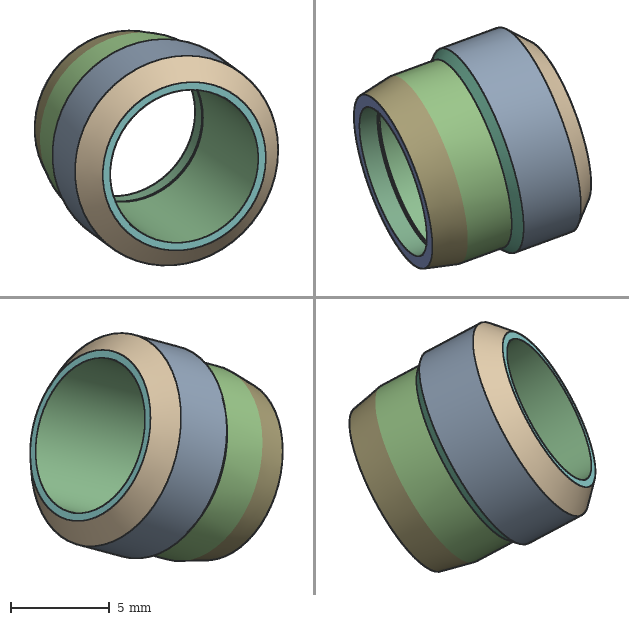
import cadquery as cq

length = 9.0
outer_radius = 5.5
bore_radius = 4.0

nose_radius = 4.68
spigot_radius = 5.06
nose_length = 1.79
shoulder_start = 4.25

shoulder_length = 0.46
end_chamfer = 1.09

groove_start = 1.0
groove_width = 0.14
groove_depth = 0.22


def revolve_about_x(profile):
    return profile.close().revolve(360, (0, 0, 0), (1, 0, 0))


def make_body():
    profile = (
        cq.Workplane("XY")
        .moveTo(0, bore_radius)
        .lineTo(0, nose_radius)
        .lineTo(nose_length, spigot_radius)
        .lineTo(shoulder_start, spigot_radius)
        .lineTo(shoulder_start + shoulder_length, outer_radius)
        .lineTo(length - end_chamfer, outer_radius)
        .lineTo(length, outer_radius - end_chamfer)
        .lineTo(length, bore_radius)
    )
    return revolve_about_x(profile)


def make_groove_cutter():
    groove_end = groove_start + groove_width
    groove_radius = bore_radius + groove_depth
    profile = (
        cq.Workplane("XY")
        .moveTo(groove_start, 0)
        .lineTo(groove_start, groove_radius)
        .lineTo(groove_end, groove_radius)
        .lineTo(groove_end, 0)
    )
    return revolve_about_x(profile)


result = make_body().cut(make_groove_cutter())